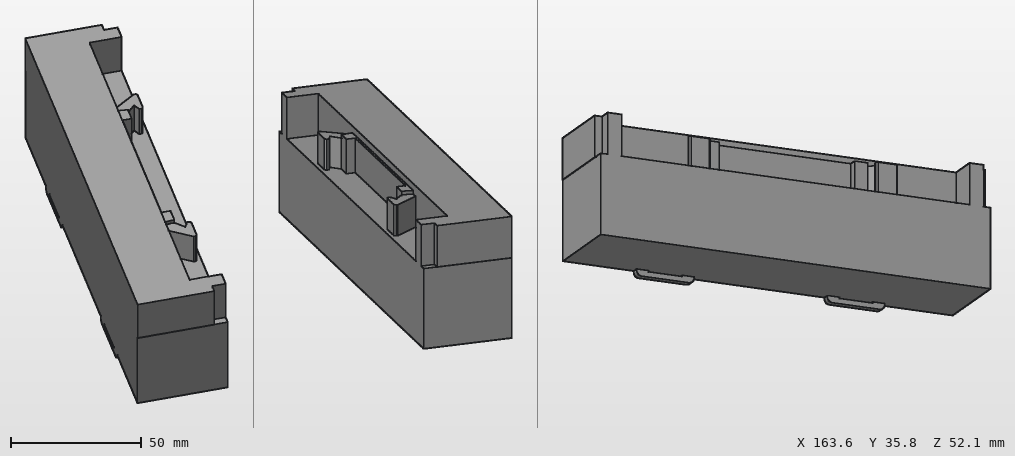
import cadquery as cq

cover_width = 163.6
base_inset = 0.2
depth = 35.8
height = 49.5
cover_height = 16.9
base_height = height - cover_height
centre_x = cover_width / 2

recess_margin = 9.0
recess_wall_y = 23.0

notch_width = 3.1
notch_depth = 5.4

hook_top_z = height - 4.3
hook_back_y = 34.0
hook_outer_x = 38.1
hook_corner = 0.7
hook_shoulder_y = 32.7
hook_root_x = 44.8
beak_end_x = 47.1
beak_tip_y = 32.4
throat = (44.5, 31.1)

seat_top_z = height - 2.8
block_x = 48.0
block_back_y = 27.7
block_foot_x = 47.5
block_foot_y = 26.3
block_end_x = 53.5
plate_back_y = 24.0

tab_width = 24.0
tab_depth = 3.0
tab_drop = 2.6
tab_radius = 2.1
tab_offset = 40.0
slot_width = 13.9
slot_height = 0.5


def box(x0, x1, y0, y1, z0, z1):
    """Block between two opposite corners."""
    return cq.Workplane("XY").box(x1 - x0, y1 - y0, z1 - z0, centered=False).translate((x0, y0, z0))


def mirrored(points):
    """Reflect an outline to the other side of the housing centre."""
    return [(2 * centre_x - x, y) for x, y in points]


def prism(points, top_z):
    """Upright prism from the top of the base to top_z."""
    outline = cq.Workplane("XY").workplane(offset=base_height).polyline(points).close()
    return outline.extrude(top_z - base_height)


def make_housing():
    base = box(base_inset, cover_width - base_inset, 0, depth, 0, base_height)
    cover = box(0, cover_width, 0, depth, base_height, height)
    recess = box(recess_margin, cover_width - recess_margin, recess_wall_y, depth, base_height, height)
    housing = base.union(cover).cut(recess)
    notch_y = depth - notch_depth
    left_notch = box(0, notch_width, notch_y, depth, base_height, height)
    right_notch = box(cover_width - notch_width, cover_width, notch_y, depth, base_height, height)
    return housing.cut(left_notch).cut(right_notch)


def make_rail_clips():
    hook = [
        (hook_root_x, recess_wall_y),
        (hook_outer_x, hook_shoulder_y),
        (hook_outer_x, hook_back_y - hook_corner),
        (hook_outer_x + hook_corner, hook_back_y),
        (beak_end_x - hook_corner, hook_back_y),
        (beak_end_x, hook_back_y - hook_corner),
        (beak_end_x, beak_tip_y),
        throat,
        (block_x, block_back_y),
        (block_x, block_foot_y),
        (block_foot_x, recess_wall_y),
    ]
    block = [
        (block_foot_x, recess_wall_y),
        (block_x, block_foot_y),
        (block_x, block_back_y),
        (block_end_x, block_back_y),
        (block_end_x, recess_wall_y),
    ]
    plate_end_x = 2 * centre_x - block_end_x
    clips = box(block_end_x, plate_end_x, recess_wall_y, plate_back_y, base_height, seat_top_z)
    for outline, top_z in ((hook, hook_top_z), (block, seat_top_z)):
        clips = clips.union(prism(outline, top_z)).union(prism(mirrored(outline), top_z))
    return clips


def make_tab(x):
    tab = box(x - tab_width / 2, x + tab_width / 2, 0, tab_depth, -tab_drop, 0)
    tab = tab.edges("|Y and <Z").fillet(tab_radius)
    slot = box(x - slot_width / 2, x + slot_width / 2, 0, tab_depth, -slot_height, 0)
    return tab.cut(slot)


result = make_housing().union(make_rail_clips())
for side in (-1, 1):
    result = result.union(make_tab(centre_x + side * tab_offset))